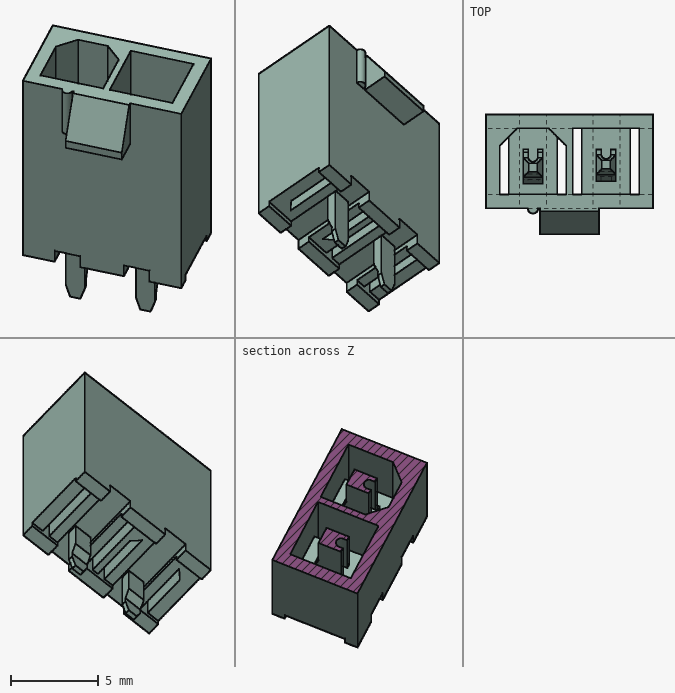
import cadquery as cq


BODY_X = 9.6
BODY_Y = 5.4
BODY_Z = 12.8
PITCH = 4.2
POSITIONS = [-PITCH / 2, PITCH / 2]

CAVITY = 3.8
WALL = (BODY_Y - CAVITY) / 2
KEY_CHAMFER = 1.0
FLOOR_TOP = 3.0
FLOOR_X = 2.8

SIDE_RELIEF_Z = 0.4
PIN_RELIEF_X = 1.55
PIN_RELIEF_Z = 0.8

LATCH_X = 3.4
LATCH_Y = 1.5
LATCH_Z = 3.0
LATCH_LIP_Z = 0.5
LATCH_TOP_Y = 0.17
RIB_RADIUS = 0.3

PIN_SIZE = 1.14
PIN_BACK_Y = 2.92
PIN_FRONT_Y = PIN_BACK_Y - PIN_SIZE
PIN_TOP_Z = 9.0
POINT_SIZE = 0.48
POINT_Z = 0.87
LEG_BACK_Y = 3.22
GROOVE_X = 0.56
GROOVE_BOTTOM_Y = 2.68
SHOULDER_Z = 1.1
RIGHT_PIN_SHIFT_Y = 0.16

CLEARANCE_BACK_Y = 3.39
CLEARANCE_Z = 0.5

TAIL_FRONT_Y = 1.4
TAIL_Y = 0.58
TAIL_END_Y = 0.28
TAIL_LENGTH = 3.5
TAIL_BEND_TOP = 1.5
TAIL_BEND_BOTTOM = 2.3
TAIL_POINT_X = 0.62
TAIL_POINT_Z = 0.8


def block(x_center, x_size, y_min, y_max, z_min, z_max):
    """Box centred on x_center, between the given Y and Z limits."""
    box = cq.Workplane("XY").box(x_size, y_max - y_min, z_max - z_min, centered=(True, False, False))
    return box.translate((x_center, y_min, z_min))


def extrude_along_x(profile, x_center, width):
    """Closed (Y, Z) profile extruded symmetrically about x_center."""
    solid = cq.Workplane("YZ").polyline(profile).close().extrude(width / 2, both=True)
    return solid.translate((x_center, 0, 0))


def make_cavity(x_center, keyed):
    """Open-top cavity; side windows carry it through the floor."""
    cavity = block(x_center, CAVITY, WALL, WALL + CAVITY, 0, BODY_Z)
    if keyed:
        cavity = cavity.edges("|Z and >Y").chamfer(KEY_CHAMFER)
    floor = block(x_center, FLOOR_X, 0, BODY_Y, 0, FLOOR_TOP)
    return cavity.cut(floor)


def make_housing():
    housing = block(0, BODY_X, 0, BODY_Y, 0, BODY_Z)
    for index, x_center in enumerate(POSITIONS):
        housing = housing.cut(make_cavity(x_center, keyed=index == 0))
        housing = housing.cut(block(x_center, PIN_RELIEF_X, 0, BODY_Y, 0, PIN_RELIEF_Z))
        clearance = block(
            x_center, PIN_SIZE, PIN_BACK_Y, CLEARANCE_BACK_Y, FLOOR_TOP - CLEARANCE_Z, FLOOR_TOP
        )
        tongue = block(x_center, GROOVE_X, 0, BODY_Y, 0, FLOOR_TOP)
        housing = housing.cut(clearance.cut(tongue))
    return housing.cut(block(0, BODY_X, WALL, WALL + CAVITY, 0, SIDE_RELIEF_Z))


def make_latch():
    bottom = BODY_Z - LATCH_Z
    profile = [
        (0, bottom),
        (-LATCH_Y, bottom),
        (-LATCH_Y, bottom + LATCH_LIP_Z),
        (-LATCH_TOP_Y, BODY_Z),
        (0, BODY_Z),
    ]
    return extrude_along_x(profile, 0, LATCH_X)


def make_key_rib():
    """Half-round rib in line with the keyed cavity."""
    rib = cq.Workplane("XY").circle(RIB_RADIUS).extrude(LATCH_Z)
    rib = rib.translate((POSITIONS[0], 0, BODY_Z - LATCH_Z))
    return rib.intersect(block(0, BODY_X, -BODY_Y, 0, 0, BODY_Z))


def make_contact():
    """Square pin with a pyramid point, sloped front shoulder and two legs behind a groove."""
    base_z = FLOOR_TOP - CLEARANCE_Z
    point_base_z = PIN_TOP_Z - POINT_Z
    pin_center_y = PIN_BACK_Y - PIN_SIZE / 2
    profile = [
        (TAIL_FRONT_Y, base_z),
        (TAIL_FRONT_Y, FLOOR_TOP),
        (PIN_FRONT_Y, FLOOR_TOP + SHOULDER_Z),
        (PIN_FRONT_Y, point_base_z),
        (LEG_BACK_Y, point_base_z),
        (LEG_BACK_Y, base_z),
    ]
    contact = extrude_along_x(profile, 0, PIN_SIZE)
    point = (
        cq.Workplane("XY", origin=(0, pin_center_y, point_base_z))
        .rect(PIN_SIZE, PIN_SIZE)
        .workplane(offset=POINT_Z)
        .rect(POINT_SIZE, POINT_SIZE)
        .loft(ruled=True)
    )
    groove_radius = GROOVE_X / 2
    groove_center_y = GROOVE_BOTTOM_Y + groove_radius
    groove = (
        cq.Workplane("XY", origin=(0, 0, FLOOR_TOP))
        .moveTo(-groove_radius, BODY_Y)
        .lineTo(-groove_radius, groove_center_y)
        .threePointArc((0, GROOVE_BOTTOM_Y), (groove_radius, groove_center_y))
        .lineTo(groove_radius, BODY_Y)
        .close()
        .extrude(BODY_Z - FLOOR_TOP)
    )
    return contact.union(point).cut(groove)


def make_tail():
    """Flat tail, thinned from the back by a sloped bend and tapered in width at its end."""
    tail_back_y = TAIL_FRONT_Y + TAIL_Y
    end_back_y = TAIL_FRONT_Y + TAIL_END_Y
    side_profile = [
        (TAIL_FRONT_Y, PIN_RELIEF_Z),
        (tail_back_y, PIN_RELIEF_Z),
        (tail_back_y, -TAIL_BEND_TOP),
        (end_back_y, -TAIL_BEND_BOTTOM),
        (end_back_y, -TAIL_LENGTH),
        (TAIL_FRONT_Y, -TAIL_LENGTH),
    ]
    taper_z = TAIL_POINT_Z - TAIL_LENGTH
    front_profile = [
        (-PIN_SIZE / 2, PIN_RELIEF_Z),
        (PIN_SIZE / 2, PIN_RELIEF_Z),
        (PIN_SIZE / 2, taper_z),
        (TAIL_POINT_X / 2, -TAIL_LENGTH),
        (-TAIL_POINT_X / 2, -TAIL_LENGTH),
        (-PIN_SIZE / 2, taper_z),
    ]
    outline = cq.Workplane("XZ").polyline(front_profile).close().extrude(-BODY_Y)
    return extrude_along_x(side_profile, 0, PIN_SIZE).intersect(outline)


result = make_housing().union(make_latch()).union(make_key_rib())
contact = make_contact()
tail = make_tail()
for x_center, shift_y in zip(POSITIONS, [0, RIGHT_PIN_SHIFT_Y]):
    result = result.union(contact.translate((x_center, shift_y, 0)))
    result = result.union(tail.translate((x_center, shift_y, 0)))